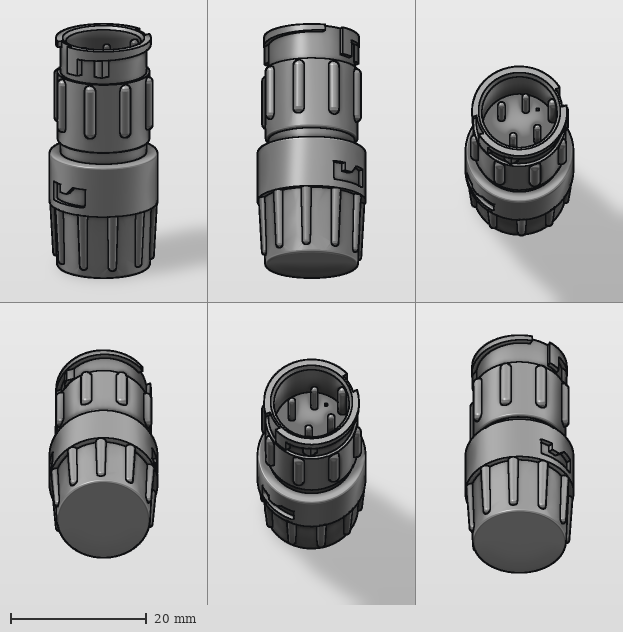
import cadquery as cq
import math

TOTAL_LENGTH = 35.05
COLLAR_BOTTOM = 9.9
COLLAR_TOP = 17.52
GRIP_BOTTOM = 19.28
GRIP_TOP = 29.85

NUT_END_RADIUS = 6.87
NUT_TOP_RADIUS = 7.22
COLLAR_RADIUS = 8.0
NECK_RADIUS = 6.35
GRIP_RADIUS = 6.8
END_ROUND = 0.42
COLLAR_ROUND = 0.35
GRIP_ROUND = 0.4

BORE_RADIUS = 5.55
BORE_CHAMFER = 0.5
BORE_FLOOR = 27.13
PIN_X = 2.55
PIN_Y = 1.9
PIN_RADIUS = 0.53
PIN_TOP = 33.1
KEY_Y = 5.25
KEY_RADIUS = 0.75
KEY_TOP = 34.05
MARK_X = -2.05
MARK_Y = 3.58
MARK_RADIUS = 0.2
MARK_DEPTH = 0.2

GRIP_RIB_COUNT = 8
GRIP_RIB_AXIS = 6.73
GRIP_RIB_RADIUS = 0.85
GRIP_RIB_BOTTOM = 21.5
GRIP_RIB_TOP = 29.65

BACK_END_TURN = 18.9

NUT_RIB_COUNT = 10
NUT_RIB_START = 1.8
NUT_RIB_END_RADIUS = 0.6
NUT_RIB_TOP_RADIUS = 0.77
NUT_RIB_INSET = 0.05
NUT_RIB_OVERLAP = 0.35
NUT_RIB_PITCH = 360 / NUT_RIB_COUNT
NUT_RIB_TURN = BACK_END_TURN - NUT_RIB_PITCH / 2

SLOT_HALF_WIDTH = 3.15
SLOT_BOTTOM = 11.1
SLOT_TOP = 13.95
SLOT_SMALL_CORNER = 0.25
SLOT_LARGE_CORNER = 0.55
SLOT_FLOOR_RADIUS = 7.3
TOOTH_LEFT = -1.3
TOOTH_BOTTOM = 12.75

FLANGE_RADIUS = 7.0
FLANGE_HALF_GAP = 1.47
RAMP_START_HEIGHT = 34.17
RAMP_END_HEIGHT = 33.4
RAMP_POINTS = 12
LEG_OUTER_X = 3.33
LEG_BOTTOM = 31.0

DETENT_ROOT = (-4.87, 4.15)
DETENT_FLANK = (-5.5, 3.93)
DETENT_CREST = (-6.03, 3.45)
DETENT_HEEL = (-5.92, 2.25)


def ring(bottom, top, outer, inner):
    return cq.Workplane("XY", origin=(0, 0, bottom)).circle(outer).circle(inner).extrude(top - bottom)


def cylinder(bottom, top, radius, x=0, y=0):
    return cq.Workplane("XY", origin=(x, y, bottom)).circle(radius).extrude(top - bottom)


def round_post(bottom, top, radius, x, y):
    """Upright pin with a hemispherical tip."""
    shank = cylinder(bottom, top - radius, radius, x, y)
    tip = cq.Workplane("XY", origin=(x, y, top - radius)).sphere(radius)
    return shank.union(tip)


def turned(feature, turn):
    return feature.rotate((0, 0, 0), (0, 0, 1), turn)


def make_nut():
    nut = cq.Workplane("XY").circle(NUT_END_RADIUS).workplane(offset=COLLAR_BOTTOM)
    nut = nut.circle(NUT_TOP_RADIUS).loft()
    return nut.faces("<Z").edges().fillet(END_ROUND)


def make_body():
    collar = cylinder(COLLAR_BOTTOM, COLLAR_TOP, COLLAR_RADIUS).faces(">Z").edges().fillet(COLLAR_ROUND)
    neck = cylinder(COLLAR_TOP, TOTAL_LENGTH, NECK_RADIUS)
    grip = cylinder(GRIP_BOTTOM, GRIP_TOP, GRIP_RADIUS).faces("<Z").edges().fillet(GRIP_ROUND)
    return make_nut().union(collar).union(neck).union(grip)


def make_grip_rib():
    low = GRIP_RIB_BOTTOM + GRIP_RIB_RADIUS
    low_end = cq.Workplane("XY", origin=(GRIP_RIB_AXIS, 0, low)).sphere(GRIP_RIB_RADIUS)
    return round_post(low, GRIP_RIB_TOP, GRIP_RIB_RADIUS, GRIP_RIB_AXIS, 0).union(low_end)


def make_nut_rib():
    """Tapered rib with a ball end, its axis just under the conical side of the nut, on the -Y side."""
    slope = (NUT_TOP_RADIUS - NUT_END_RADIUS) / COLLAR_BOTTOM
    top = COLLAR_BOTTOM + NUT_RIB_OVERLAP
    base_radius = NUT_END_RADIUS - NUT_RIB_INSET
    start = cq.Vector(0, -(base_radius + slope * NUT_RIB_START), NUT_RIB_START)
    end = cq.Vector(0, -(base_radius + slope * top), top)
    axis = end - start
    lengthwise = cq.Workplane(cq.Plane(start, xDir=(1, 0, 0), normal=cq.Vector(1, 0, 0).cross(axis)))
    diagonal = NUT_RIB_END_RADIUS * math.sqrt(0.5)
    return (
        lengthwise.moveTo(0, -NUT_RIB_END_RADIUS)
        .threePointArc((diagonal, -diagonal), (NUT_RIB_END_RADIUS, 0))
        .lineTo(NUT_RIB_TOP_RADIUS, axis.Length)
        .lineTo(0, axis.Length)
        .close()
        .revolve(360, (0, 0), (0, 1))
    )


def make_slot():
    """J-shaped bayonet slot on the -Y side, cut straight inward to a cylindrical floor."""
    tooth_ramp = SLOT_TOP - TOOTH_BOTTOM
    outline = [
        (-SLOT_HALF_WIDTH, SLOT_BOTTOM),
        (-SLOT_HALF_WIDTH, SLOT_TOP),
        (TOOTH_LEFT, SLOT_TOP),
        (TOOTH_LEFT, TOOTH_BOTTOM),
        (0, TOOTH_BOTTOM),
        (tooth_ramp, SLOT_TOP),
        (SLOT_HALF_WIDTH, SLOT_TOP),
        (SLOT_HALF_WIDTH, SLOT_BOTTOM),
    ]
    slot = cq.Workplane("XZ").polyline(outline).close().extrude(2 * COLLAR_RADIUS)
    slot = slot.faces("<Z").edges("|Y and <X").fillet(SLOT_SMALL_CORNER)
    slot = slot.faces("<Z").edges("|Y and >X").fillet(SLOT_LARGE_CORNER)
    slot = slot.cut(cylinder(0, COLLAR_TOP, SLOT_FLOOR_RADIUS))
    return turned(slot, BACK_END_TURN)


def make_flange_half():
    """The -X half of the flange: helical ramp from the -Y gap round to a leg at the +Y gap."""
    gap_angle = math.asin(FLANGE_HALF_GAP / FLANGE_RADIUS)
    ramp_sweep = math.pi - 2 * gap_angle
    ramp = []
    for step in range(RAMP_POINTS + 1):
        share = step / RAMP_POINTS
        y = -FLANGE_RADIUS * math.cos(gap_angle + share * ramp_sweep)
        ramp.append((y, RAMP_START_HEIGHT + share * (RAMP_END_HEIGHT - RAMP_START_HEIGHT)))
    ramp_side = (
        cq.Workplane("YZ", origin=(-FLANGE_HALF_GAP, 0, 0))
        .moveTo(*ramp[0])
        .spline(ramp[1:], includeCurrent=True)
        .lineTo(ramp[-1][0], TOTAL_LENGTH)
        .lineTo(ramp[0][0], TOTAL_LENGTH)
        .close()
        .extrude(-FLANGE_RADIUS)
    )
    leg_width = LEG_OUTER_X - FLANGE_HALF_GAP
    leg = cq.Workplane("XY", origin=(-LEG_OUTER_X, 0, LEG_BOTTOM))
    leg = leg.box(leg_width, FLANGE_RADIUS, TOTAL_LENGTH - LEG_BOTTOM, centered=False)
    detent = cq.Workplane("XY", origin=(0, 0, LEG_BOTTOM)).moveTo(*DETENT_ROOT)
    detent = detent.threePointArc(DETENT_FLANK, DETENT_CREST).lineTo(*DETENT_HEEL)
    detent = detent.lineTo(DETENT_ROOT[0], DETENT_HEEL[1]).close().extrude(RAMP_START_HEIGHT - LEG_BOTTOM)
    envelope = ring(LEG_BOTTOM, TOTAL_LENGTH, FLANGE_RADIUS, BORE_RADIUS + BORE_CHAMFER)
    return ramp_side.union(leg).union(detent).intersect(envelope)


def make_bore():
    mouth_radius = BORE_RADIUS + BORE_CHAMFER
    outline = [
        (0, BORE_FLOOR),
        (BORE_RADIUS, BORE_FLOOR),
        (BORE_RADIUS, TOTAL_LENGTH - BORE_CHAMFER),
        (mouth_radius, TOTAL_LENGTH),
        (0, TOTAL_LENGTH),
    ]
    return cq.Workplane("XZ").polyline(outline).close().revolve(360, (0, 0), (0, 1))


result = make_body()

for i in range(NUT_RIB_COUNT):
    result = result.union(turned(make_nut_rib(), NUT_RIB_TURN + i * NUT_RIB_PITCH))

for i in range(GRIP_RIB_COUNT):
    result = result.union(turned(make_grip_rib(), i * 360 / GRIP_RIB_COUNT))

for half_turn in (0, 180):
    result = result.cut(turned(make_slot(), half_turn))
    result = result.union(turned(make_flange_half(), half_turn))

result = result.cut(make_bore())

for x in (-PIN_X, PIN_X):
    for y in (-PIN_Y, PIN_Y):
        result = result.union(round_post(BORE_FLOOR, PIN_TOP, PIN_RADIUS, x, y))
result = result.union(round_post(BORE_FLOOR, KEY_TOP, KEY_RADIUS, 0, KEY_Y))
result = result.cut(cylinder(BORE_FLOOR - MARK_DEPTH, BORE_FLOOR, MARK_RADIUS, MARK_X, MARK_Y))